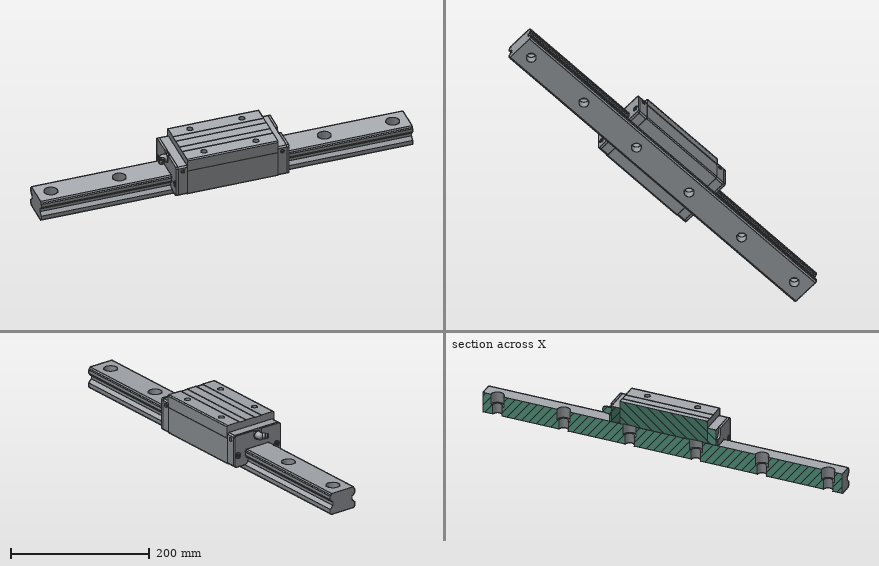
import cadquery as cq
import math

RAIL_LENGTH = 570.0
RAIL_HEIGHT = 33.0
RAIL_HALF_WIDTH = 22.5
RAIL_BASE_CHAMFER = 2.0
RAIL_BASE_TOP_Z = 8.5
WAIST_HALF_WIDTH = 17.5
WAIST_BOTTOM_Z = 13.5
WAIST_TOP_Z = 19.5
HEAD_SIDE_HEIGHT = 5.0
HEAD_MIDDLE_Z = 26.5
TRACK_INNER_X = 20.0
TRACK_BOTTOM_X = 21.0
TRACK_BOTTOM_RISE = 4.0
RAIL_HOLE_COUNT = 6
RAIL_HOLE_PITCH = 105.0
RAIL_HOLE_DIAMETER = 14.0
COUNTERBORE_DIAMETER = 20.0
COUNTERBORE_DEPTH = 17.0

CARRIAGE_Y = 1.5
CARRIAGE_BOTTOM_Z = 9.0
BLOCK_LENGTH = 139.0
BLOCK_WIDTH = 86.0
BLOCK_TOP_Z = 70.0
BLOCK_CHAMFER = 1.5
SIDE_STEP = 0.5
SIDE_STEP_Z = 50.0
MOUNT_HOLE_DIAMETER = 8.5
MOUNT_HOLE_DEPTH = 17.0
MOUNT_HOLE_HALF_SPACING_X = 30.0
MOUNT_HOLE_HALF_SPACING_Y = 40.0
DRILL_POINT_ANGLE = 118.0
GROOVE_INNER_X = 8.0
GROOVE_OUTER_X = 20.0
GROOVE_DEPTH = 0.5

CAP_WIDTH = 84.0
CAP_TOP_Z = 58.5
CAP_CHAMFER = 2.0
CAP_LENGTH = 13.5
SEAL_THICKNESS = 3.5
SIDE_HOLE_DIAMETER = 5.5
SIDE_HOLE_DEPTH = 3.0
SIDE_HOLE_Z = 51.0

SCREW_X = 35.5
SCREW_Z = 27.0
SCREW_HEAD_DIAMETER = 8.5
SCREW_HEAD_DEPTH = 1.5
SCREW_SOCKET_DIAMETER = 3.3
SCREW_SOCKET_DEPTH = 1.0

NIPPLE_Z = 50.0
NIPPLE_DIAMETER = 11.5
NIPPLE_HEX_FLATS = 11.5
NIPPLE_COLLAR_LENGTH = 5.0
NIPPLE_SLOT_WIDTH = 13.5
NOZZLE_ANGLE = 55.0
NOZZLE_BARREL_DIAMETER = 8.5
NOZZLE_NECK_DIAMETER = 5.5
NOZZLE_HEAD_DIAMETER = 7.5
NOZZLE_TIP_DIAMETER = 4.5
NOZZLE_BARREL_END = 7.5
NOZZLE_NECK_END = 8.5
NOZZLE_HEAD_END = 11.0
NOZZLE_TIP_END = 12.5

BLOCK_HALF_LENGTH = BLOCK_LENGTH / 2
CAP_OUTER_Y = BLOCK_HALF_LENGTH + CAP_LENGTH
FRONT, BACK = -1, 1
LEFT, RIGHT = -1, 1
FULL_TURN = 360.0


def mirrored_prism(right_half, y_start, y_end):
    """Extrude an X-Z outline, given by its +X half from top to bottom, between two Y places."""
    left_half = [(-x, z) for x, z in reversed(right_half)]
    outline = cq.Workplane("XZ", origin=(0, y_start, 0)).polyline(right_half + left_half).close()
    return outline.extrude(y_start - y_end)


def rail_prism():
    upper_track = [
        (TRACK_INNER_X, RAIL_HEIGHT),
        (TRACK_BOTTOM_X, HEAD_MIDDLE_Z + TRACK_BOTTOM_RISE),
        (RAIL_HALF_WIDTH, HEAD_MIDDLE_Z + HEAD_SIDE_HEIGHT / 2),
    ]
    lower_track = [(x, 2 * HEAD_MIDDLE_Z - z) for x, z in reversed(upper_track)]
    return mirrored_prism(
        [
            *upper_track,
            *lower_track,
            (WAIST_HALF_WIDTH, WAIST_TOP_Z),
            (WAIST_HALF_WIDTH, WAIST_BOTTOM_Z),
            (RAIL_HALF_WIDTH, RAIL_BASE_TOP_Z),
            (RAIL_HALF_WIDTH, RAIL_BASE_CHAMFER),
            (RAIL_HALF_WIDTH - RAIL_BASE_CHAMFER, 0),
        ],
        -RAIL_LENGTH / 2,
        RAIL_LENGTH / 2,
    )


def make_rail():
    return (
        rail_prism()
        .faces(">Z")
        .workplane(origin=(0, 0, RAIL_HEIGHT))
        .rarray(5.5, RAIL_HOLE_PITCH, 1, RAIL_HOLE_COUNT)
        .cboreHole(RAIL_HOLE_DIAMETER, COUNTERBORE_DIAMETER, COUNTERBORE_DEPTH)
    )


def mounting_hole(x, y):
    """Blind drilled hole with a conical bottom, open at the block's top."""
    radius = MOUNT_HOLE_DIAMETER / 2
    point_depth = radius / math.tan(math.radians(DRILL_POINT_ANGLE / 2))
    profile = [
        (0, 0),
        (radius, 0),
        (radius, -MOUNT_HOLE_DEPTH),
        (0, -MOUNT_HOLE_DEPTH - point_depth),
    ]
    drill = cq.Workplane("XZ").polyline(profile).close().revolve(FULL_TURN, (0, 0, 0), (0, 1, 0))
    return drill.translate((x, y, BLOCK_TOP_Z))


def make_block():
    half_width = BLOCK_WIDTH / 2
    lower_half_width = half_width - SIDE_STEP
    block = mirrored_prism(
        [
            (half_width - BLOCK_CHAMFER, BLOCK_TOP_Z),
            (half_width, BLOCK_TOP_Z - BLOCK_CHAMFER),
            (half_width, SIDE_STEP_Z + SIDE_STEP),
            (lower_half_width, SIDE_STEP_Z),
            (lower_half_width, CARRIAGE_BOTTOM_Z + BLOCK_CHAMFER),
            (lower_half_width - BLOCK_CHAMFER, CARRIAGE_BOTTOM_Z),
        ],
        -BLOCK_HALF_LENGTH,
        BLOCK_HALF_LENGTH,
    ).cut(rail_prism())

    groove_width = GROOVE_OUTER_X - GROOVE_INNER_X
    groove_x = (GROOVE_OUTER_X + GROOVE_INNER_X) / 2
    for side in (LEFT, RIGHT):
        groove = cq.Workplane("XY").box(groove_width, BLOCK_LENGTH, 2 * GROOVE_DEPTH)
        block = block.cut(groove.translate((side * groove_x, 0, BLOCK_TOP_Z)))
        for end in (FRONT, BACK):
            hole = mounting_hole(side * MOUNT_HOLE_HALF_SPACING_X, end * MOUNT_HOLE_HALF_SPACING_Y)
            block = block.cut(hole)
    return block.translate((0, CARRIAGE_Y, 0))


def end_plate(y_inner, thickness, end):
    """Plate with the end cap outline, fitted around the rail, growing outwards from y_inner."""
    half_width = CAP_WIDTH / 2
    return mirrored_prism(
        [
            (half_width - CAP_CHAMFER, CAP_TOP_Z),
            (half_width, CAP_TOP_Z - CAP_CHAMFER),
            (half_width, CARRIAGE_BOTTOM_Z + CAP_CHAMFER),
            (half_width - CAP_CHAMFER, CARRIAGE_BOTTOM_Z),
        ],
        end * y_inner,
        end * (y_inner + thickness),
    ).cut(rail_prism())


def make_cap(end):
    cap = end_plate(BLOCK_HALF_LENGTH, CAP_LENGTH, end)
    hole_y = end * (BLOCK_HALF_LENGTH + CAP_LENGTH / 2)
    for side in (LEFT, RIGHT):
        mouth = cq.Vector(side * CAP_WIDTH / 2, hole_y, SIDE_HOLE_Z)
        inward = cq.Vector(-side, 0, 0)
        cap = cap.cut(cq.Solid.makeCylinder(SIDE_HOLE_DIAMETER / 2, SIDE_HOLE_DEPTH, mouth, inward))
    return cap.translate((0, CARRIAGE_Y, 0))


def screw_pocket(x, y_face, end):
    """Ring-shaped recess left around a domed screw head, with the blind socket in its crown."""
    head_radius = SCREW_HEAD_DIAMETER / 2
    socket_radius = SCREW_SOCKET_DIAMETER / 2
    dome_radius = (head_radius**2 + SCREW_HEAD_DEPTH**2) / (2 * SCREW_HEAD_DEPTH)
    inward = cq.Vector(0, -end, 0)
    face_centre = cq.Vector(x, y_face, SCREW_Z)
    dome = cq.Solid.makeSphere(dome_radius, cq.Vector(), cq.Vector(0, 0, 1), -90, 90)
    dome = dome.translate(face_centre + inward * dome_radius)
    pocket = cq.Solid.makeCylinder(head_radius, SCREW_HEAD_DEPTH, face_centre, inward)
    socket = cq.Solid.makeCylinder(socket_radius, SCREW_SOCKET_DEPTH, face_centre, inward)
    return pocket.cut(dome).fuse(socket)


def make_seal(end):
    seal = end_plate(CAP_OUTER_Y, SEAL_THICKNESS, end)
    slot_height = 2 * (CAP_TOP_Z - NIPPLE_Z)
    slot_y = end * (CAP_OUTER_Y + SEAL_THICKNESS / 2)
    slot_place = (0, slot_y, NIPPLE_Z)
    slot_sides = cq.Workplane("XY").box(NIPPLE_SLOT_WIDTH, SEAL_THICKNESS, slot_height, (True, True, False))
    slot_floor = cq.Workplane("XZ").circle(NIPPLE_SLOT_WIDTH / 2).extrude(SEAL_THICKNESS / 2, both=True)
    seal = seal.cut(slot_sides.union(slot_floor).translate(slot_place))
    for side in (LEFT, RIGHT):
        pocket = screw_pocket(side * SCREW_X, end * (CAP_OUTER_Y + SEAL_THICKNESS), end)
        seal = seal.cut(pocket)
    return seal.translate((0, CARRIAGE_Y, 0))


def make_nozzle():
    """Turned nozzle with a neck behind its tapered head, along -Y from the origin."""
    barrel_radius = NOZZLE_BARREL_DIAMETER / 2
    neck_radius = NOZZLE_NECK_DIAMETER / 2
    head_radius = NOZZLE_HEAD_DIAMETER / 2
    profile = [
        (0, 0),
        (barrel_radius, 0),
        (barrel_radius, -NOZZLE_BARREL_END),
        (neck_radius, -NOZZLE_BARREL_END),
        (neck_radius, -NOZZLE_NECK_END),
        (head_radius, -NOZZLE_NECK_END),
        (head_radius, -NOZZLE_HEAD_END),
        (NOZZLE_TIP_DIAMETER / 2, -NOZZLE_TIP_END),
        (0, -NOZZLE_TIP_END),
    ]
    return cq.Workplane("XY").polyline(profile).close().revolve(FULL_TURN, (0, 0, 0), (0, 1, 0))


def make_nipple():
    """Elbow nipple on the front cap: hexagon in the seal slot, collar, ball and side nozzle."""
    radius = NIPPLE_DIAMETER / 2
    hex_corners = NIPPLE_HEX_FLATS / math.cos(math.pi / 6)
    ball_y = -SEAL_THICKNESS - NIPPLE_COLLAR_LENGTH
    ball_centre = (0, ball_y, 0)
    hexagon = cq.Workplane("XZ").polygon(6, hex_corners).extrude(SEAL_THICKNESS)
    collar = cq.Workplane("XZ", origin=(0, -SEAL_THICKNESS, 0)).circle(radius).extrude(NIPPLE_COLLAR_LENGTH)
    ball = cq.Workplane("XZ").sphere(radius).translate(ball_centre)
    nozzle = make_nozzle().rotate((0, 0, 0), (0, 0, 1), NOZZLE_ANGLE).translate(ball_centre)
    nipple = hexagon.union(collar).union(ball).union(nozzle)
    return nipple.translate((0, CARRIAGE_Y - CAP_OUTER_Y, NIPPLE_Z))


rail = make_rail()
block = make_block()
caps = [make_cap(end) for end in (FRONT, BACK)]
seals = [make_seal(end) for end in (FRONT, BACK)]
nipple = make_nipple()

result = cq.Compound.makeCompound(
    [
        rail.val(),
        block.val(),
        *[cap.val() for cap in caps],
        *[seal.val() for seal in seals],
        nipple.val(),
    ]
)